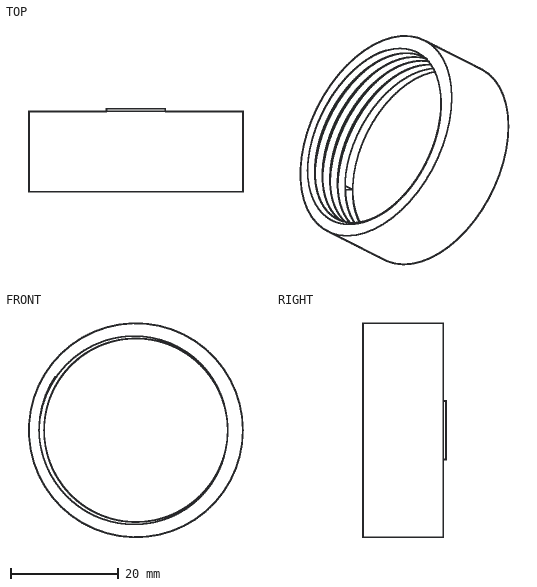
import cadquery as cq

cap_diameter = 40.0
cap_height = 15.0
floor_thickness = 4.0
bore_depth = cap_height - floor_thickness

pad_diameter = 11.0
pad_height = 0.5

crest_radius = 17.15
root_radius = 18.1
pitch = 2.0
turn_gap = 0.02
groove_overlap = 0.05
groove_run_in = pitch
thread_length = bore_depth - pitch / 2


def cylinder_along_y(diameter, start, length):
    """Solid cylinder about the Y axis from Y = start to Y = start + length."""
    return cq.Workplane("XZ", origin=(0, start, 0)).circle(diameter / 2).extrude(-length)


def thread_groove():
    """Helical V-shaped cutter about the Y axis, with its root at -X in the mouth plane."""
    half_width = (pitch - turn_gap) / 2
    helix = cq.Wire.makeHelix(pitch, groove_run_in + thread_length, crest_radius)
    groove = (
        cq.Workplane("XZ")
        .moveTo(crest_radius - groove_overlap, -half_width)
        .lineTo(root_radius, 0)
        .lineTo(crest_radius - groove_overlap, half_width)
        .close()
        .sweep(cq.Workplane(helix), isFrenet=True)
    )
    return (
        groove.rotate((0, 0, 0), (0, 0, 1), 180)
        .rotate((0, 0, 0), (1, 0, 0), -90)
        .translate((0, -groove_run_in, 0))
    )


body = cylinder_along_y(cap_diameter, 0, cap_height)
pad = cylinder_along_y(pad_diameter, cap_height, pad_height)
bore = cylinder_along_y(2 * crest_radius, 0, bore_depth)

result = body.union(pad).cut(bore).cut(thread_groove())